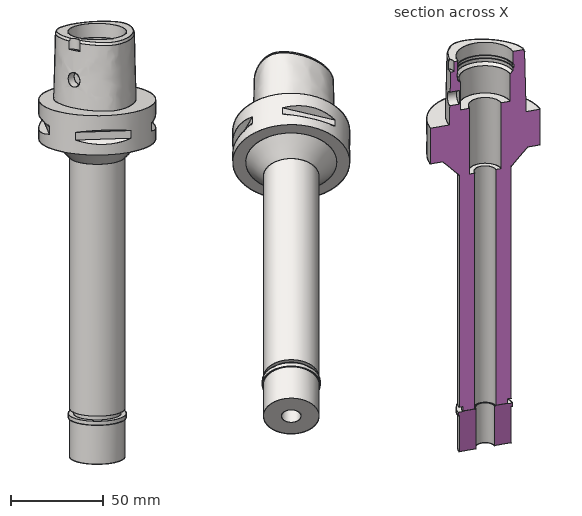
import cadquery as cq
import math


shank_height = 38.0
shank_base_width = 44.4
shank_taper = 1 / 20
lobe_offset = 1.4
lead_in_height = 1.5
lead_in_inset = 0.6

drive_slot_radius = 5.0
drive_slot_floor = 18.0
drive_slot_depth = 6.0
pocket_diameter = 8.0
pocket_drop = 22.4
pocket_floor = 15.0

flange_diameter = 63.0
flange_height = 22.0
gripper_drop = 12.1
gripper_floor = 27.7
gripper_floor_width = 4.3
gripper_mouth_width = 8.0
gripper_count = 4

cone_top_diameter = 49.0
cone_height = 10.0
bar_diameter = 30.0
neck_diameter = 25.8
neck_height = 2.7

nut_diameter = 30.0
nut_collar_diameter = 31.3
nut_collar_height = 2.3
nut_height = 24.3
nut_bore = 10.5

total_length = 238.0
mouth_diameter = 31.5
mouth_depth = 8.0
undercut_diameter = 32.5
undercut_height = 1.8
seat_top_depth = 11.8
seat_bore = 28.3
seat_bore_depth = 30.0
drawbolt_bore = 18.0
through_bore = 12.0

shank_top = shank_height
bottom = shank_top - total_length
nut_top = bottom + nut_height
bar_bottom = nut_top + neck_height
cone_bottom = -flange_height - cone_height


def polygon_section(width, z):
    """Closed wire of the three-lobed profile, one lobe pointing along +Y."""

    def point(t):
        angle = 2 * math.pi * t
        along = width / 2 * math.cos(angle) + lobe_offset * (2 * math.cos(2 * angle) - math.cos(4 * angle))
        across = width / 2 * math.sin(angle) - lobe_offset * (2 * math.sin(2 * angle) + math.sin(4 * angle))
        return (-across, along, z)

    return cq.Workplane("XY").parametricCurve(point, N=120).val()


def polygon_frustum(lower_width, lower_z, upper_width, upper_z):
    lower = polygon_section(lower_width, lower_z)
    upper = polygon_section(upper_width, upper_z)
    return cq.Workplane(cq.Solid.makeLoft([lower, upper], True))


def revolve_profile(points):
    """Turn a closed (radius, z) outline about the Z axis."""
    return cq.Workplane("XZ").polyline(points).close().revolve(360, (0, 0), (0, 1))


def make_shank():
    lead_in_z = shank_top - lead_in_height
    lead_in_width = shank_base_width - shank_taper * lead_in_z
    taper = polygon_frustum(shank_base_width, 0, lead_in_width, lead_in_z)
    lead_in = polygon_frustum(lead_in_width, lead_in_z, lead_in_width - 2 * lead_in_inset, shank_top)
    return taper.union(lead_in)


def make_turned_body():
    return revolve_profile([
        (0, 0),
        (flange_diameter / 2, 0),
        (flange_diameter / 2, -flange_height),
        (cone_top_diameter / 2, -flange_height),
        (bar_diameter / 2, cone_bottom),
        (bar_diameter / 2, bar_bottom),
        (neck_diameter / 2, bar_bottom),
        (neck_diameter / 2, nut_top),
        (0, nut_top),
    ])


def make_bore():
    mouth_z = shank_top - mouth_depth
    undercut_z = mouth_z - undercut_height
    seat_z = shank_top - seat_top_depth
    seat_chamfer = (mouth_diameter - seat_bore) / 2
    seat_floor_z = shank_top - seat_bore_depth
    return revolve_profile([
        (0, shank_top),
        (mouth_diameter / 2, shank_top),
        (mouth_diameter / 2, mouth_z),
        (undercut_diameter / 2, mouth_z),
        (undercut_diameter / 2, undercut_z),
        (mouth_diameter / 2, undercut_z),
        (mouth_diameter / 2, seat_z),
        (seat_bore / 2, seat_z - seat_chamfer),
        (seat_bore / 2, seat_floor_z),
        (drawbolt_bore / 2, seat_floor_z),
        (drawbolt_bore / 2, cone_bottom),
        (through_bore / 2, cone_bottom),
        (through_bore / 2, nut_top),
        (0, nut_top),
    ])


def make_drive_slot():
    return (
        cq.Workplane("XY", origin=(0, -drive_slot_floor - drive_slot_radius, shank_top - drive_slot_depth))
        .circle(drive_slot_radius)
        .extrude(drive_slot_depth)
    )


def make_pocket():
    return (
        cq.Workplane("XZ", origin=(0, -pocket_floor, shank_top - pocket_drop))
        .circle(pocket_diameter / 2)
        .extrude(shank_base_width / 2 - pocket_floor)
    )


def make_gripper_groove(angle):
    """Straight trapezoid groove across the flange rim, facing the given angle."""
    rim = flange_diameter / 2
    return (
        cq.Workplane("XZ", origin=(0, 0, -gripper_drop))
        .polyline([
            (gripper_floor, -gripper_floor_width / 2),
            (rim, -gripper_mouth_width / 2),
            (rim, gripper_mouth_width / 2),
            (gripper_floor, gripper_floor_width / 2),
        ])
        .close()
        .extrude(rim, both=True)
        .rotate((0, 0, 0), (0, 0, 1), angle)
    )


def make_holder():
    holder = make_turned_body().union(make_shank())
    holder = holder.cut(make_bore()).cut(make_drive_slot()).cut(make_pocket())
    spacing = 360 / gripper_count
    for i in range(gripper_count):
        holder = holder.cut(make_gripper_groove(spacing * (i + 0.5)))
    return holder


def make_nut():
    collar_bottom = nut_top - nut_collar_height
    return revolve_profile([
        (nut_bore / 2, nut_top),
        (nut_collar_diameter / 2, nut_top),
        (nut_collar_diameter / 2, collar_bottom),
        (nut_diameter / 2, collar_bottom),
        (nut_diameter / 2, bottom),
        (nut_bore / 2, bottom),
    ])


holder = make_holder()
nut = make_nut()
result = cq.Compound.makeCompound([*holder.solids().vals(), *nut.solids().vals()])